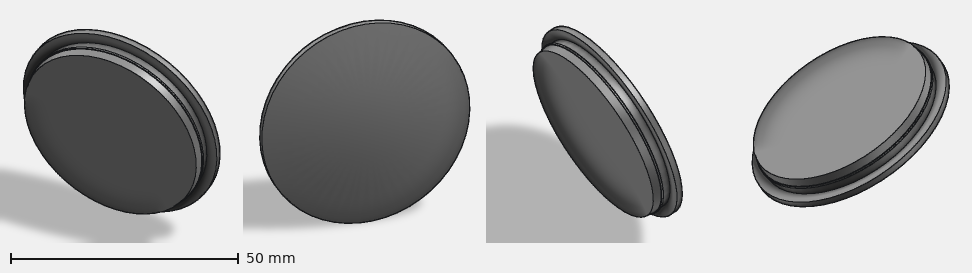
import cadquery as cq

flange_radius = 24.15
neck_radius = 21.65
bead_radius = 21.95
taper_base_radius = 21.75
plug_face_radius = 21.45

overall_length = 7.5
taper_length = 2.0
bead_width = 0.5
neck_length = 2.05
flange_thickness = 1.5

bead_start = taper_length
bead_end = bead_start + bead_width
flange_start = bead_end + neck_length
flange_end = flange_start + flange_thickness
dome_height = overall_length - flange_end

dome_radius = (flange_radius**2 + dome_height**2) / (2 * dome_height)
dome_center = overall_length - dome_radius
dome_mid_radius = flange_radius / 2
dome_mid_position = dome_center + (dome_radius**2 - dome_mid_radius**2) ** 0.5

half_section = (
    cq.Workplane("YZ")
    .moveTo(0, 0)
    .lineTo(0, plug_face_radius)
    .lineTo(bead_start, taper_base_radius)
    .lineTo(bead_start, bead_radius)
    .lineTo(bead_end, bead_radius)
    .lineTo(bead_end, neck_radius)
    .lineTo(flange_start, neck_radius)
    .lineTo(flange_start, flange_radius)
    .lineTo(flange_end, flange_radius)
    .threePointArc((dome_mid_position, dome_mid_radius), (overall_length, 0))
    .close()
)

result = half_section.revolve(360, (0, 0, 0), (1, 0, 0))